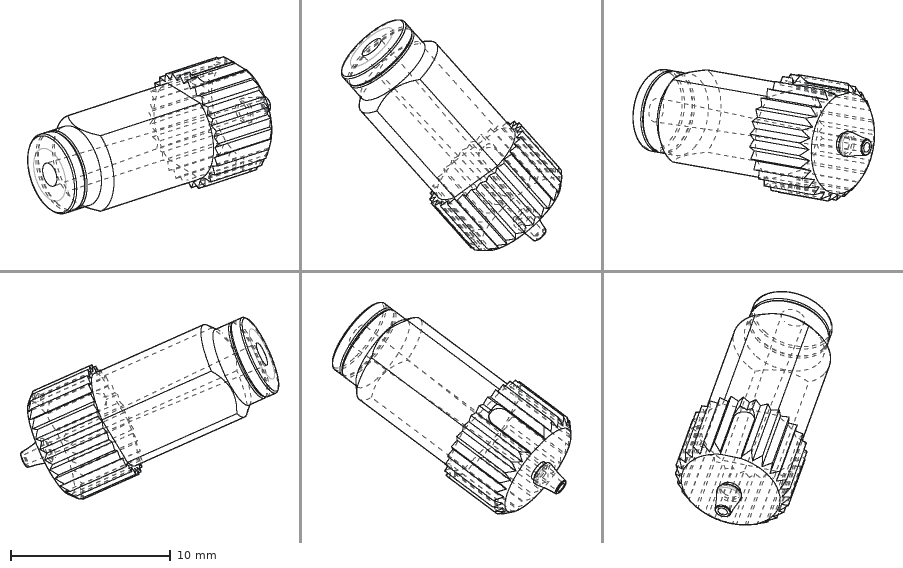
import cadquery as cq
import math

length = 16.8

plug_radius = 2.6
plug_length = 2.12
face_radius = 1.71
face_dish_depth = 0.1
rim_chamfer = 0.1
groove_center_y = 0.9
groove_width = 0.2
groove_depth = 0.07

body_radius = 3.18
shoulder_length = 0.55
flat_offset = 2.65

knurl_start_y = 10.4
knurl_end_y = 14.9
knurl_width_x = 7.5
tooth_count = 29
knurl_radius = knurl_width_x / 2 / math.cos(math.pi / (2 * tooth_count))
knurl_chamfer = 0.54

slot_width = 1.35
slot_end_y = 11.05
slot_floor_z = 3.15

barb_neck_radius = 0.65
barb_diameter = 1.6
barb_radius = barb_diameter / 2
barb_tip_radius = 0.52
barb_tip_chamfer = 0.05
barb_flare_sag = 0.03
barb_back_y = 15.19
barb_back_chamfer = 0.08
barb_land_y = 15.32
barb_front_y = 15.45
barb_front_radius = 0.77

bore_radius = 0.75
bore_tip_radius = 0.3


def turn(outline):
    """Revolve an outline of (radius, y) points about the Y axis."""
    return outline.close().revolve(360, (0, 0, 0), (0, 1, 0))


def make_body():
    shank = turn(
        cq.Workplane("XY")
        .moveTo(0, 0)
        .lineTo(face_radius, 0)
        .lineTo(plug_radius - rim_chamfer, face_dish_depth)
        .lineTo(plug_radius, face_dish_depth + rim_chamfer)
        .lineTo(plug_radius, groove_center_y - groove_width / 2)
        .lineTo(plug_radius - groove_depth, groove_center_y)
        .lineTo(plug_radius, groove_center_y + groove_width / 2)
        .lineTo(plug_radius, plug_length)
        .lineTo(body_radius, plug_length + shoulder_length)
        .lineTo(body_radius, knurl_start_y)
        .lineTo(0, knurl_start_y)
    )
    between_flats = cq.Workplane("XY").box(2 * body_radius, 2 * knurl_start_y, 2 * flat_offset)
    return shank.intersect(between_flats)


def make_knurl():
    half_pitch = math.pi / tooth_count
    valley_radius = knurl_radius * (math.cos(half_pitch) - math.sin(half_pitch))
    outline = []
    for tooth in range(tooth_count):
        valley_angle = math.pi / 2 + 2 * half_pitch * tooth
        tip_angle = valley_angle + half_pitch
        outline.append((valley_radius * math.cos(valley_angle), valley_radius * math.sin(valley_angle)))
        outline.append((knurl_radius * math.cos(tip_angle), knurl_radius * math.sin(tip_angle)))
    teeth = (
        cq.Workplane("XZ", origin=(0, knurl_start_y, 0))
        .polyline(outline)
        .close()
        .extrude(knurl_start_y - knurl_end_y)
    )
    chamfered_blank = turn(
        cq.Workplane("XY")
        .moveTo(0, knurl_start_y)
        .lineTo(knurl_radius, knurl_start_y)
        .lineTo(knurl_radius, knurl_end_y - knurl_chamfer)
        .lineTo(knurl_radius - knurl_chamfer, knurl_end_y)
        .lineTo(0, knurl_end_y)
    )
    return teeth.intersect(chamfered_blank).cut(make_slot())


def make_slot():
    """Flat-floored slot, open at the barb side and round at its other end."""
    end_radius = slot_width / 2
    return (
        cq.Workplane("XY", origin=(0, 0, slot_floor_z))
        .moveTo(-end_radius, knurl_end_y)
        .lineTo(-end_radius, slot_end_y + end_radius)
        .threePointArc((0, slot_end_y), (end_radius, slot_end_y + end_radius))
        .lineTo(end_radius, knurl_end_y)
        .close()
        .extrude(knurl_radius - slot_floor_z)
    )


def make_barb():
    flare_end_y = length - barb_tip_chamfer
    flare_middle = (
        (barb_front_radius + barb_tip_radius) / 2 - barb_flare_sag,
        (barb_front_y + flare_end_y) / 2,
    )
    return turn(
        cq.Workplane("XY")
        .moveTo(0, knurl_end_y)
        .lineTo(barb_neck_radius, knurl_end_y)
        .lineTo(barb_neck_radius, barb_back_y - barb_back_chamfer)
        .lineTo(barb_radius, barb_back_y)
        .lineTo(barb_radius, barb_land_y)
        .tangentArcPoint((barb_front_radius, barb_front_y), relative=False)
        .threePointArc(flare_middle, (barb_tip_radius, flare_end_y))
        .lineTo(barb_tip_radius - barb_tip_chamfer, length)
        .lineTo(0, length)
    )


def make_bore():
    return turn(
        cq.Workplane("XY")
        .moveTo(0, 0)
        .lineTo(bore_radius, 0)
        .lineTo(bore_tip_radius, length)
        .lineTo(0, length)
    )


result = make_body().union(make_knurl()).union(make_barb()).cut(make_bore())